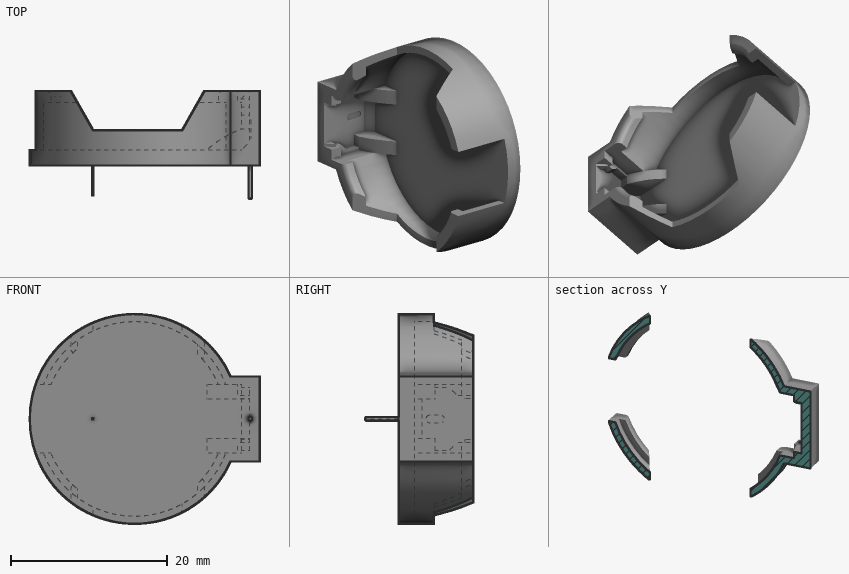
import cadquery as cq

overall_length = 29.35
cup_radius = 13.38
cup_height = 9.55
floor_thickness = 2.02
cup_center_x = cup_radius
block_half_width = 5.43

pocket_radius = 12.4
lip_radius = 11.53
lip_depth = 1.5
lip_underside_y = cup_height - lip_depth
lip_round = 0.7

slot_half_width = 4.37
cutout_center_x = 13.75
cutout_floor_y = 4.52
cutout_floor_half_width = 5.65
cutout_top_half_width = 8.5

chamber_wall_x = 27.0
chamber_lip_x = 26.5
recess_depth = 1.0
recess_wall_x = chamber_wall_x + recess_depth
recess_narrow_half_width = 3.0
recess_wide_half_width = 4.0
recess_narrow_y = 7.48
recess_wide_y = recess_narrow_y - (recess_wide_half_width - recess_narrow_half_width)

ledge_top_y = 4.67
ledge_front_x = 22.6
ledge_radius = 13.2
channel_half_width = 2.52
ramp_rise = 0.97
hook_inner_z = 2.6
hook_size = 1.05
dimple_length = 2.32
dimple_width = 1.0
dimple_depth = 0.2
dimple_y = 4.67

large_pin_x = 28.1
large_pin_radius = 0.25
large_pin_length = 4.25
small_pin_x = 8.07
small_pin_radius = 0.103
small_pin_length = 3.8


def box(x_range, y_range, z_range):
    """Box between the given limits."""
    size = [high - low for low, high in (x_range, y_range, z_range)]
    return cq.Workplane("XY").box(*size, centered=False).translate((x_range[0], y_range[0], z_range[0]))


def disc(radius, y_start, y_end):
    """Cylinder on the cup axis, which runs along Y."""
    plane = cq.Workplane("XZ", origin=(cup_center_x, y_start, 0))
    return plane.circle(radius).extrude(y_start - y_end)


def across_z(outline, z_start, z_end):
    """Extrude a closed XY outline between two Z levels."""
    return outline.extrude(z_end - z_start).translate((0, 0, z_start))


def cup_blank():
    block = box(
        (cup_center_x, overall_length), (0, cup_height), (-block_half_width, block_half_width)
    )
    return disc(cup_radius, 0, cup_height).union(block)


def cell_pocket():
    """Round pocket that narrows at the mouth to a lip with a rounded entry."""
    return (
        cq.Workplane("XY")
        .moveTo(0, floor_thickness)
        .lineTo(pocket_radius, floor_thickness)
        .lineTo(pocket_radius, lip_underside_y)
        .lineTo(lip_radius, lip_underside_y)
        .lineTo(lip_radius, cup_height - lip_round)
        .radiusArc((lip_radius + lip_round, cup_height), lip_round)
        .lineTo(0, cup_height)
        .close()
        .revolve(360, (0, 0), (0, 1))
        .translate((cup_center_x, 0, 0))
    )


def insertion_slot():
    return box(
        (0, cup_center_x), (floor_thickness, cup_height), (-slot_half_width, slot_half_width)
    )


def finger_cutouts():
    """Trapezoid passing through both the +Z and the -Z wall."""
    outline = cq.Workplane("XY").polyline([
        (cutout_center_x - cutout_floor_half_width, cutout_floor_y),
        (cutout_center_x + cutout_floor_half_width, cutout_floor_y),
        (cutout_center_x + cutout_top_half_width, cup_height),
        (cutout_center_x - cutout_top_half_width, cup_height),
    ]).close()
    return across_z(outline, -cup_radius, cup_radius)


def terminal_chamber():
    """Flat-walled room behind the pocket, narrowed by a straight lip at the mouth."""
    z_range = (-slot_half_width, slot_half_width)
    room = box((cup_center_x, chamber_wall_x), (floor_thickness, lip_underside_y), z_range)
    mouth = box((cup_center_x, chamber_lip_x), (lip_underside_y, cup_height), z_range)
    return room.union(mouth)


def terminal_recess():
    """T-shaped recess in the chamber wall, wider toward the floor."""
    return (
        cq.Workplane("YZ", origin=(chamber_lip_x, 0, 0))
        .polyline([
            (cup_height, -recess_narrow_half_width),
            (cup_height, recess_narrow_half_width),
            (recess_narrow_y, recess_narrow_half_width),
            (recess_wide_y, recess_wide_half_width),
            (floor_thickness, recess_wide_half_width),
            (floor_thickness, -recess_wide_half_width),
            (recess_wide_y, -recess_wide_half_width),
            (recess_narrow_y, -recess_narrow_half_width),
        ])
        .close()
        .extrude(recess_wall_x - chamber_lip_x)
    )


def contact_dimple():
    """Oblong hollow in the back wall of the recess."""
    return (
        cq.Workplane("YZ", origin=(recess_wall_x, dimple_y, 0))
        .slot2D(dimple_length, dimple_width)
        .extrude(dimple_depth)
    )


def curved_ledge(z_start, z_end):
    """Ledge on the floor with a convex front that rises to a flat top."""
    outline = (
        cq.Workplane("XY")
        .moveTo(ledge_front_x, floor_thickness)
        .radiusArc((chamber_wall_x, ledge_top_y), ledge_radius)
        .lineTo(recess_wall_x, ledge_top_y)
        .lineTo(recess_wall_x, floor_thickness)
        .close()
    )
    return across_z(outline, z_start, z_end)


def floor_ramp():
    """45 degree ramp between the ledges, at the foot of the recess wall."""
    outline = cq.Workplane("XY").polyline([
        (recess_wall_x - ramp_rise, floor_thickness),
        (recess_wall_x, floor_thickness),
        (recess_wall_x, floor_thickness + ramp_rise),
    ]).close()
    return across_z(outline, -channel_half_width, channel_half_width)


def snap_hook(z_start, z_end):
    """Hook on the recess wall with a 45 degree lead-in and a flat underside."""
    outline = cq.Workplane("XY").polyline([
        (recess_wall_x - hook_size, cup_height - hook_size),
        (recess_wall_x, cup_height - hook_size),
        (recess_wall_x, cup_height),
    ]).close()
    return across_z(outline, z_start, z_end)


def make_housing():
    body = cup_blank()
    for cut in (
        cell_pocket(), insertion_slot(), finger_cutouts(),
        terminal_chamber(), terminal_recess(), contact_dimple(),
    ):
        body = body.cut(cut)
    body = body.union(floor_ramp())
    mirrored_features = curved_ledge(channel_half_width, slot_half_width).union(
        snap_hook(hook_inner_z, recess_narrow_half_width)
    )
    return body.union(mirrored_features).union(mirrored_features.mirror("XY"))


def make_pin(x, radius, length):
    """Round pin standing on the underside of the housing and pointing toward -Y."""
    return cq.Workplane("XZ", origin=(x, 0, 0)).circle(radius).extrude(length)


def make_large_pin():
    """Pin with a rounded tip."""
    shank_length = large_pin_length - large_pin_radius
    tip = cq.Workplane("XY").sphere(large_pin_radius).translate((large_pin_x, -shank_length, 0))
    return make_pin(large_pin_x, large_pin_radius, shank_length).union(tip)


housing = make_housing()
large_pin = make_large_pin()
small_pin = make_pin(small_pin_x, small_pin_radius, small_pin_length)

result = cq.Compound.makeCompound([housing.val(), large_pin.val(), small_pin.val()])